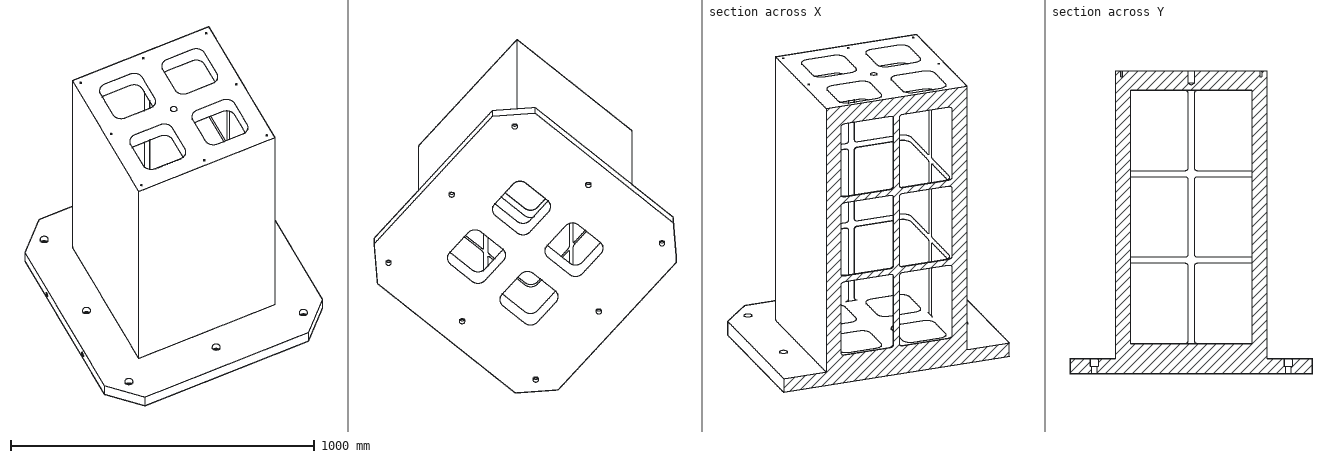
import cadquery as cq
import math

BASE_SIDE = 800.0
BASE_THICKNESS = 50.0
BASE_CORNER_CUT = 100.0

TOTAL_HEIGHT = 1000.0
COLUMN_SIDE = 500.0
TOP_PLATE_THICKNESS = 65.0

CORE_SIDE = 400.0
PANEL_DEPTH = 10.0
PANEL_LAYERS = 3
PANEL_HEIGHT = 265.0
INNER_CORNER_RADIUS = 30.0
RIB_WIDTH = 20.0
RIB_FILLET = PANEL_DEPTH

WINDOW_SIDE = 153.0
WINDOW_PITCH = 228.0
WINDOW_CORNER_RADIUS = 30.0

MOUNT_OFFSET = 320.0
MOUNT_DIAMETER = 18.0
COUNTERBORE_DIAMETER = 26.0
COUNTERBORE_DEPTH = 25.0

DRILL_POINT_ANGLE = 118.0
SMALL_HOLE_OFFSET = 230.0
SMALL_HOLE_DIAMETER = 5.0
SMALL_HOLE_DEPTH = 20.0
CENTER_HOLE_DIAMETER = 21.0
CENTER_HOLE_DEPTH = 40.0
SIDE_HOLE_PITCH = 270.0
SIDE_HOLE_HEIGHT = 20.0
SIDE_HOLE_DIAMETER = 14.0
SIDE_HOLE_DEPTH = 40.0

CORE_TOP = TOTAL_HEIGHT - TOP_PLATE_THICKNESS
CORE_HEIGHT = PANEL_LAYERS * PANEL_HEIGHT + (PANEL_LAYERS - 1) * RIB_WIDTH
CORE_BOTTOM = CORE_TOP - CORE_HEIGHT
PANEL_SIDE = CORE_SIDE / 2 + PANEL_DEPTH - RIB_WIDTH / 2


def block(side, bottom, top):
    """Square block centred on the Z axis."""
    return cq.Workplane("XY", origin=(0, 0, bottom)).rect(side, side).extrude(top - bottom)


def square_ring(offset):
    """Corners and mid-sides of a centred square, `offset` from its centre lines."""
    steps = (-offset, 0.0, offset)
    return [(x, y) for x in steps for y in steps if (x, y) != (0.0, 0.0)]


def cylinders(points, top, diameter, depth):
    """Flat-ended vertical cylinders going down from `top`."""
    plane = cq.Workplane("XY", origin=(0, 0, top))
    return plane.pushPoints(points).circle(diameter / 2).extrude(-depth)


def drill(diameter, depth):
    """Drill pointing down from the origin, with a conical point below its full-diameter depth."""
    radius = diameter / 2
    point_height = radius / math.tan(math.radians(DRILL_POINT_ANGLE / 2))
    profile = [(0, 0), (radius, 0), (radius, -depth), (0, -depth - point_height)]
    return cq.Workplane("XZ").polyline(profile).close().revolve(360, (0, 0), (0, 1))


def corner_panel(bottom):
    """Panel recess reaching into the +X +Y corner of the column, rounded along its borders."""
    panel = block(PANEL_SIDE, bottom, bottom + PANEL_HEIGHT)
    panel = panel.edges("|Z and >X and >Y").fillet(INNER_CORNER_RADIUS)
    panel = panel.edges("|Z and ((<X and >Y) or (>X and <Y))").fillet(RIB_FILLET)
    panel = panel.faces("<Z or >Z").edges().fillet(RIB_FILLET)
    center = (RIB_WIDTH + PANEL_SIDE) / 2
    return panel.translate((center, center, 0))


def column_interior():
    core = block(CORE_SIDE, CORE_BOTTOM, CORE_TOP)
    interior = core.edges("|Z").fillet(INNER_CORNER_RADIUS)
    for layer in range(PANEL_LAYERS):
        panel = corner_panel(CORE_BOTTOM + layer * (PANEL_HEIGHT + RIB_WIDTH))
        for angle in range(0, 360, 90):
            interior = interior.union(panel.rotate((0, 0, 0), (0, 0, 1), angle))
    return interior


def windows():
    openings = (
        cq.Workplane("XY")
        .rarray(WINDOW_PITCH, WINDOW_PITCH, 2, 2)
        .rect(WINDOW_SIDE, WINDOW_SIDE)
        .extrude(TOTAL_HEIGHT)
    )
    return openings.edges("|Z").fillet(WINDOW_CORNER_RADIUS)


body = block(BASE_SIDE, 0, BASE_THICKNESS).edges("|Z").chamfer(BASE_CORNER_CUT)
body = body.union(block(COLUMN_SIDE, 0, TOTAL_HEIGHT))
body = body.cut(column_interior()).cut(windows())

mounts = square_ring(MOUNT_OFFSET)
body = body.cut(cylinders(mounts, BASE_THICKNESS, MOUNT_DIAMETER, BASE_THICKNESS))
body = body.cut(cylinders(mounts, BASE_THICKNESS, COUNTERBORE_DIAMETER, COUNTERBORE_DEPTH))

small_holes = square_ring(SMALL_HOLE_OFFSET)
body = body.cut(cylinders(small_holes, TOTAL_HEIGHT, SMALL_HOLE_DIAMETER, SMALL_HOLE_DEPTH))
body = body.cut(drill(CENTER_HOLE_DIAMETER, CENTER_HOLE_DEPTH).translate((0, 0, TOTAL_HEIGHT)))

side_drill = drill(SIDE_HOLE_DIAMETER, SIDE_HOLE_DEPTH).rotate((0, 0, 0), (1, 0, 0), 90)
for x in (-SIDE_HOLE_PITCH / 2, SIDE_HOLE_PITCH / 2):
    body = body.cut(side_drill.translate((x, -BASE_SIDE / 2, SIDE_HOLE_HEIGHT)))

result = body